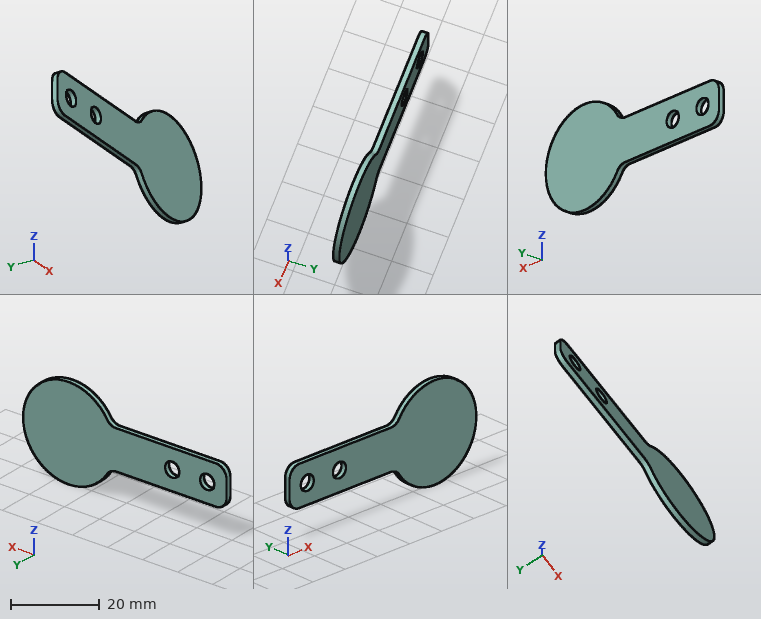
import cadquery as cq

total_length = 58.0
thickness = 1.5
disc_diameter = 26.0
handle_width = 11.0
corner_radius = 3.0
neck_radius = 3.0
hole_diameter = 4.0
first_hole_offset = 5.5
hole_spacing = 10.0

disc_radius = disc_diameter / 2
disc_center_x = total_length - disc_radius
hole_positions = [(first_hole_offset + i * hole_spacing, 0) for i in range(2)]


def make_handle():
    """Flat strip from the rounded end to the disc center."""
    return (
        cq.Workplane("XZ")
        .rect(disc_center_x, handle_width)
        .extrude(-thickness)
        .translate((disc_center_x / 2, 0, 0))
        .edges("|Y and <X")
        .fillet(corner_radius)
    )


def make_disc():
    """Round paddle at the far end."""
    return cq.Workplane("XZ").center(disc_center_x, 0).circle(disc_radius).extrude(-thickness)


def blend_neck(body):
    """Round the two inside corners where the handle meets the disc."""
    neck_zone = cq.selectors.BoxSelector(
        (disc_center_x - disc_radius, -thickness, -handle_width),
        (disc_center_x, 2 * thickness, handle_width),
    )
    return body.edges("|Y").edges(neck_zone).fillet(neck_radius)


def make_holes():
    """Mounting holes through the handle."""
    return (
        cq.Workplane("XZ")
        .pushPoints(hole_positions)
        .circle(hole_diameter / 2)
        .extrude(-thickness)
    )


result = blend_neck(make_handle().union(make_disc())).cut(make_holes())